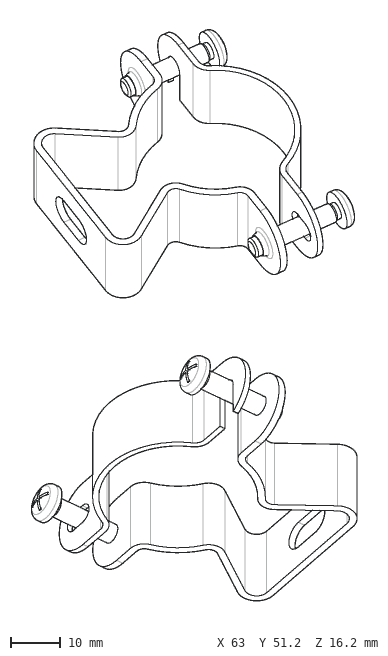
import cadquery as cq
import math


clamp_length = 63.0
band_width = 16.2
pipe_radius = 16.0

strap_thickness = 1.25
strap_ear_y = 5.85
strap_bend_radius = 2.4

base_thickness = 1.6
base_ear_y = -2.7
base_bend_radius = 1.9
base_corner_radius = 2.5
waist_angle = 55.0
foot_y = -33.1
foot_flat_length = 27.1
foot_slot_length = 12.1
foot_slot_width = 6.4

screw_x = 25.1
shank_radius = 2.1
neck_radius = 3.6 / 2
screw_tip_y = -6.4
tip_radius = 1.5
tip_chamfer_length = 0.4
thread_start_y = 12.2
neck_start_y = 12.65
head_seat_y = 13.55
head_radius = 4.05
head_rim_height = 1.0
head_height = 3.0
crown_radius = 3.15
crown_height = 2.25
rim_bulge = 0.25
recess_length = 5.15
recess_width = 0.55
recess_depth = 0.95

collar_base_radius = 3.4
collar_root_radius = 2.65
collar_tip_radius = 2.25
collar_length = 1.5
flare_length = 0.45

opening_width = 4.4
oblong_length = 7.3


def circle_point(center, radius, angle):
    """Point on a circle at an angle in radians."""
    return (center[0] + radius * math.cos(angle), center[1] + radius * math.sin(angle))


def angle_to(start, end):
    """Direction from one point to another, in radians."""
    return math.atan2(end[1] - start[1], end[0] - start[0])


def mirrored(point):
    return (-point[0], point[1])


def formed_band(center_line, thickness):
    """Thicken a center line in the XY plane, extrude it along Z and round both ends."""
    band = center_line.offset2D(thickness / 2).extrude(band_width / 2, both=True)
    ends = cq.Workplane("XZ").slot2D(clamp_length, band_width).extrude(clamp_length, both=True)
    return band.intersect(ends)


def make_strap():
    """Arch over the pipe with an ear on each side."""
    arch_radius = pipe_radius + strap_thickness / 2
    bend_radius = strap_bend_radius + strap_thickness / 2
    bend_y = strap_ear_y + bend_radius
    bend_x = math.sqrt((arch_radius + bend_radius) ** 2 - bend_y ** 2)
    bend = (bend_x, bend_y)
    arch_angle = math.atan2(bend_y, bend_x)

    ear_end = (clamp_length / 2, strap_ear_y)
    ear_bend_start = (bend_x, strap_ear_y)
    bend_middle = circle_point(bend, bend_radius, (arch_angle - math.pi - math.pi / 2) / 2)
    arch_start = circle_point((0, 0), arch_radius, arch_angle)

    center_line = (
        cq.Workplane("XY")
        .moveTo(*ear_end)
        .lineTo(*ear_bend_start)
        .threePointArc(bend_middle, arch_start)
        .threePointArc((0, arch_radius), mirrored(arch_start))
        .threePointArc(mirrored(bend_middle), mirrored(ear_bend_start))
        .lineTo(*mirrored(ear_end))
    )
    strap = formed_band(center_line, strap_thickness)
    return strap.cut(oblong_hole()).cut(open_notch())


def ear_plane():
    return cq.Workplane("XZ", origin=(0, strap_ear_y, 0))


def oblong_hole():
    """Sideways slot for the screw on the +X ear."""
    return (
        ear_plane()
        .center(screw_x, 0)
        .slot2D(oblong_length, opening_width)
        .extrude(strap_thickness, both=True)
    )


def open_notch():
    """Round-ended notch on the -X ear, open toward -Z so the strap can swing off its screw."""
    half_width = opening_width / 2
    return (
        ear_plane()
        .center(-screw_x, 0)
        .moveTo(-half_width, -band_width)
        .lineTo(-half_width, 0)
        .threePointArc((0, half_width), (half_width, 0))
        .lineTo(half_width, -band_width)
        .close()
        .extrude(strap_thickness, both=True)
    )


def make_base_band():
    """Ears, two arcs that cradle the pipe, a waist and a wide foot."""
    cradle_radius = pipe_radius + base_thickness / 2
    bend_radius = base_bend_radius + base_thickness / 2
    corner_radius = base_corner_radius + base_thickness / 2

    ear_bend_y = base_ear_y - bend_radius
    ear_bend_x = math.sqrt((cradle_radius + bend_radius) ** 2 - ear_bend_y ** 2)
    ear_bend = (ear_bend_x, ear_bend_y)
    cradle_start_angle = math.atan2(ear_bend_y, ear_bend_x)
    cradle_end_angle = -math.radians(waist_angle)
    waist = circle_point((0, 0), cradle_radius + bend_radius, cradle_end_angle)
    corner = (foot_flat_length / 2, foot_y + corner_radius)

    span = math.dist(waist, corner)
    tangent_offset = math.acos((bend_radius + corner_radius) / span)
    waist_end_angle = angle_to(waist, corner) - tangent_offset
    corner_start_angle = waist_end_angle + math.pi

    ear_end = (clamp_length / 2, base_ear_y)
    ear_bend_start = (ear_bend_x, base_ear_y)
    ear_bend_middle = circle_point(ear_bend, bend_radius, (cradle_start_angle + math.pi + math.pi / 2) / 2)
    cradle_start = circle_point((0, 0), cradle_radius, cradle_start_angle)
    cradle_middle = circle_point((0, 0), cradle_radius, (cradle_start_angle + cradle_end_angle) / 2)
    cradle_end = circle_point((0, 0), cradle_radius, cradle_end_angle)
    waist_middle = circle_point(waist, bend_radius, math.pi)
    waist_end = circle_point(waist, bend_radius, waist_end_angle)
    corner_start = circle_point(corner, corner_radius, corner_start_angle)
    corner_middle = circle_point(corner, corner_radius, 0)
    foot_end = (foot_flat_length / 2, foot_y)

    center_line = (
        cq.Workplane("XY")
        .moveTo(*ear_end)
        .lineTo(*ear_bend_start)
        .threePointArc(ear_bend_middle, cradle_start)
        .threePointArc(cradle_middle, cradle_end)
        .threePointArc(waist_middle, waist_end)
        .lineTo(*corner_start)
        .threePointArc(corner_middle, foot_end)
        .lineTo(*mirrored(foot_end))
        .threePointArc(mirrored(corner_middle), mirrored(corner_start))
        .lineTo(*mirrored(waist_end))
        .threePointArc(mirrored(waist_middle), mirrored(cradle_end))
        .threePointArc(mirrored(cradle_middle), mirrored(cradle_start))
        .threePointArc(mirrored(ear_bend_middle), mirrored(ear_bend_start))
        .lineTo(*mirrored(ear_end))
    )
    return formed_band(center_line, base_thickness)


def foot_slot():
    return (
        cq.Workplane("XZ", origin=(0, foot_y, 0))
        .slot2D(foot_slot_length, foot_slot_width)
        .extrude(base_thickness, both=True)
    )


def make_collar():
    """Flared collar under a base ear, centered on the Y axis."""
    ear_face_y = base_ear_y - base_thickness / 2
    flare_width = collar_base_radius - collar_root_radius
    flare_radius = (flare_width ** 2 + flare_length ** 2) / (2 * flare_length)
    return (
        cq.Workplane("XY")
        .moveTo(0, base_ear_y)
        .lineTo(collar_base_radius, base_ear_y)
        .lineTo(collar_base_radius, ear_face_y)
        .radiusArc((collar_root_radius, ear_face_y - flare_length), -flare_radius)
        .lineTo(collar_tip_radius, ear_face_y - collar_length)
        .lineTo(0, ear_face_y - collar_length)
        .close()
        .revolve(360, (0, 0, 0), (0, 1, 0))
    )


def cross_recess(top_y):
    """Two crossed slots sunk into the top of a screw head."""
    middle_y = top_y - recess_depth / 2
    arm = cq.Workplane("XY", origin=(0, middle_y, 0)).box(recess_length, recess_depth, recess_width)
    return arm.union(arm.rotate((0, 0, 0), (0, 1, 0), 90))


def make_screw():
    """Cross-recessed pan-head screw with a thin neck under its head, centered on the Y axis."""
    rim_y = head_seat_y + head_rim_height
    crown_y = head_seat_y + crown_height
    head_top_y = head_seat_y + head_height
    crown_rise = head_top_y - crown_y
    crown_sphere_radius = (crown_radius ** 2 + crown_rise ** 2) / (2 * crown_rise)
    crown_center = (0, head_top_y - crown_sphere_radius)
    crown_half_angle = math.asin(crown_radius / crown_sphere_radius) / 2
    crown_middle = circle_point(crown_center, crown_sphere_radius, math.pi / 2 - crown_half_angle)
    screw = (
        cq.Workplane("XY")
        .moveTo(0, screw_tip_y)
        .lineTo(tip_radius, screw_tip_y)
        .lineTo(shank_radius, screw_tip_y + tip_chamfer_length)
        .lineTo(shank_radius, thread_start_y)
        .lineTo(neck_radius, neck_start_y)
        .lineTo(neck_radius, head_seat_y)
        .lineTo(head_radius, head_seat_y)
        .lineTo(head_radius, rim_y)
        .sagittaArc((crown_radius, crown_y), -rim_bulge)
        .threePointArc(crown_middle, (0, head_top_y))
        .close()
        .revolve(360, (0, 0, 0), (0, 1, 0))
    )
    return screw.cut(cross_recess(head_top_y))


def make_base():
    """Base band with its two collars and captive screws as one piece."""
    base = make_base_band().cut(foot_slot())
    captive_screw = make_collar().union(make_screw())
    for side in (-1, 1):
        base = base.union(captive_screw.translate((side * screw_x, 0, 0)))
    return base


strap = make_strap()
base = make_base()
result = cq.Compound.makeCompound([strap.solids().val(), base.solids().val()])